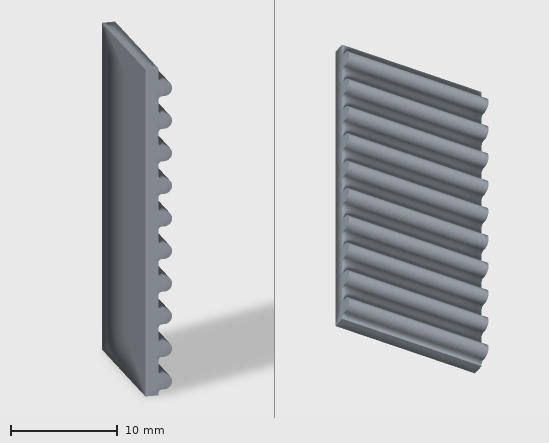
import cadquery as cq

width = 15.0
length = 32.1
depth = 2.6

backing_thickness = 1.3

tooth_count = 10
first_tooth_height = 1.3
last_tooth_height = 30.1
tooth_pitch = (last_tooth_height - first_tooth_height) / (tooth_count - 1)
tip_radius = 0.75
root_radius = 0.32


def belt_profile():
    """Outline of the toothed belt in the YZ plane, from the bottom tooth up."""
    flank_start = backing_thickness + root_radius
    tip_start = depth - tip_radius
    root_offset = tip_radius + root_radius

    profile = cq.Workplane("YZ").lineTo(backing_thickness, 0)
    for index in range(tooth_count):
        center = first_tooth_height + index * tooth_pitch
        profile = (
            profile.lineTo(backing_thickness, center - root_offset)
            .radiusArc((flank_start, center - tip_radius), root_radius)
            .lineTo(tip_start, center - tip_radius)
            .threePointArc((depth, center), (tip_start, center + tip_radius))
            .lineTo(flank_start, center + tip_radius)
            .radiusArc((backing_thickness, center + root_offset), root_radius)
        )
    return profile.lineTo(backing_thickness, length).lineTo(0, length).close()


result = belt_profile().extrude(width)